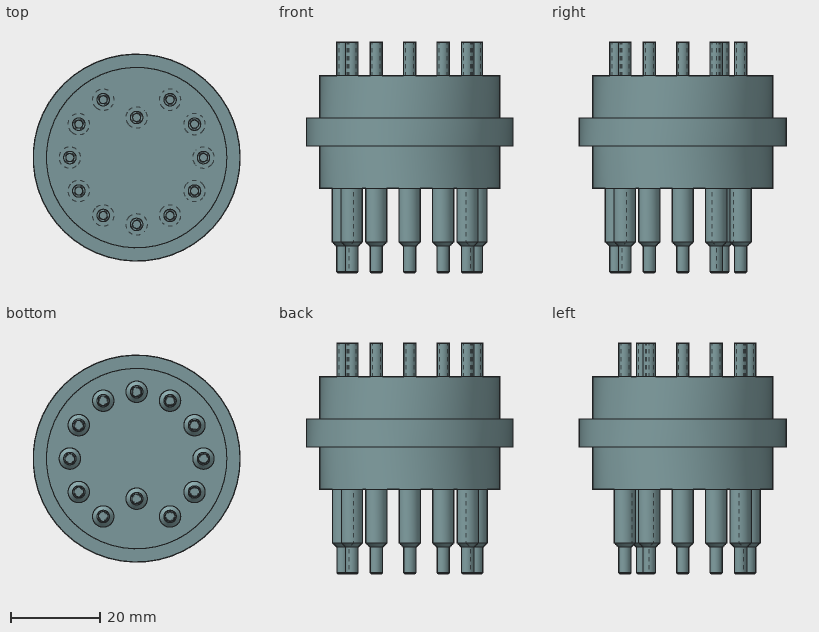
import cadquery as cq
import math

body_diameter = 40.5
flange_diameter = 46.5
flange_thickness = 6.3
body_shoulder = 9.5
body_length = flange_thickness + 2 * body_shoulder

pin_diameter = 2.8
pin_top_length = 7.5
pin_bottom_length = 19.0
pin_tip_chamfer = 0.3
bore_diameter = 1.8
bore_depth = pin_top_length

sleeve_diameter = 4.8
sleeve_length = 13.0
sleeve_chamfer = (sleeve_diameter - pin_diameter) / 2

pin_count = 12
pin_circle_radius = 15.0
key_pin_radius = 9.0
key_pin_index = pin_count // 4

flange_bottom_z = body_shoulder
body_top_z = body_length
pin_top_z = body_top_z + pin_top_length


def cylinder(diameter, bottom_z, length):
    return cq.Workplane("XY").workplane(offset=bottom_z).circle(diameter / 2).extrude(length)


def make_body():
    barrel = cylinder(body_diameter, 0, body_length)
    flange = cylinder(flange_diameter, flange_bottom_z, flange_thickness)
    return barrel.union(flange)


def make_pin():
    """Pin on the Z axis, with its sleeve, running through the body."""
    pin_length = pin_bottom_length + body_length + pin_top_length
    pin = cylinder(pin_diameter, -pin_bottom_length, pin_length)
    pin = pin.faces("<Z").chamfer(pin_tip_chamfer)
    sleeve = cylinder(sleeve_diameter, -sleeve_length, sleeve_length + body_shoulder)
    sleeve = sleeve.faces("<Z").chamfer(sleeve_chamfer)
    return pin.union(sleeve)


def make_bore():
    return cylinder(bore_diameter, pin_top_z - bore_depth, bore_depth)


def pin_places():
    places = []
    for index in range(pin_count):
        angle = 2 * math.pi * index / pin_count
        radius = key_pin_radius if index == key_pin_index else pin_circle_radius
        places.append((radius * math.cos(angle), radius * math.sin(angle), 0))
    return places


result = make_body()
pin = make_pin()
bore = make_bore()
for place in pin_places():
    result = result.union(pin.translate(place)).cut(bore.translate(place))